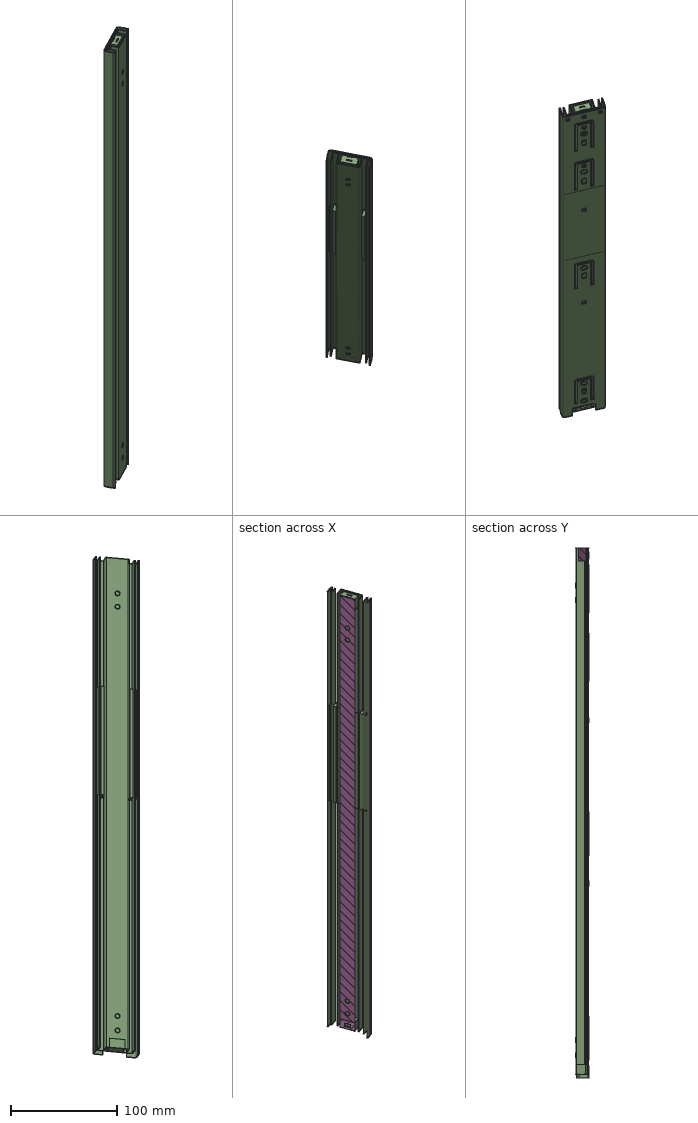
import cadquery as cq

length = 500.0
height = 43.0
thickness = 12.5
sheet = 1.0

top_z = length / 2
bottom_z = -length / 2
inner_bottom_z = -246.5
inner_length = top_z - inner_bottom_z

outer_half = height / 2
outer_depth = 11.5
outer_corner = 2.5
bulge_rise = 0.25
bulge_start = 4.0
bulge_crest = 6.0
bulge_end = 7.5
lip_start = 9.5
lip_middle = 10.5
lip_hollow = 0.2
notch_half = 11.5
notch_top_z = -238.5
notch_corner = 3.0

middle_half = 17.5
middle_back = 1.5
middle_front = 11.0
middle_corner = 2.5
rib_half = 8.0
rib_step = 0.5
rib_front = middle_back + sheet + rib_step

inner_half = 11.5
inner_back = 4.0
inner_corner = 0.5
inner_front_face = thickness - sheet

cage_bottom_z = 10.0
cage_top_z = 120.0
cage_web = 0.5
cage_corner = 1.5
outer_cage_half = 19.5
outer_cage_arm = 1.5
outer_cage_front = 7.5
inner_cage_half = 15.5
inner_cage_arm = 3.0
inner_cage_front = 9.5

stop_back = rib_front
stop_front = 10.0
stop_half = 8.0
stop_height = 12.5
stop_slot_width = 1.0
stop_slot_half = 2.5
stop_slot_x = 6.5
stop_recess_depth = 0.5

bumper_top_z = -237.0
bumper_half = 7.5
bumper_recess_half = 3.0
bumper_recess_height = 3.0
bumper_recess_z = -242.0
bumper_recess_depth = 2.0

tongue_spans = [(234.0, 189.0), (169.5, 124.5), (1.0, -40.0), (-192.0, -231.0)]
slit_half = 9.5
slit_width = 3.0
slit_corner = 3.0

small_hole = 4.5
large_hole = 6.5
slot_length = 8.5
small_hole_z = [242.5, 224.5, 161.0, 87.5, -66.5]
large_hole_z = [214.5, 151.0, -9.0, -201.0, -229.5]
slot_z = [199.5, 135.5, -22.0, -214.0]
corner_hole = 4.0
corner_hole_y = 16.0
corner_hole_z = 244.0

access_hole = 4.5
access_hole_z = [214.5, 201.0, -214.0, -228.5]


def extrude_profile(points, start_z, extent):
    """A closed XY outline extruded upward from start_z."""
    return cq.Workplane("XY").workplane(offset=start_z).polyline(points).close().extrude(extent)


def mirrored(half_points):
    """The full symmetric outline from the points of its +Y half, listed in order."""
    return half_points + [(x, -y) for x, y in reversed(half_points)]


def box_between(x_range, y_range, z_range):
    """A box given by its limits along each axis."""
    (x0, x1), (y0, y1), (z0, z1) = x_range, y_range, z_range
    return cq.Workplane("XY").box(x1 - x0, y1 - y0, z1 - z0, centered=False).translate((x0, y0, z0))


def web_plane():
    """Plane on X = 0 whose local axes are Y and Z, facing +X."""
    return cq.Workplane("YZ")


def round_holes(diameter, centres):
    """Cylinders through the full thickness at (Y, Z) centres."""
    return web_plane().pushPoints(centres).circle(diameter / 2).extrude(thickness)


def on_axis(z_values):
    """(Y, Z) centres on the slide's centre line."""
    return [(0, z) for z in z_values]


def tongue_slit(slit_top, slit_bottom):
    """U-shaped cutter, open downward, that frees a tongue in the outer web."""
    tongue_half = slit_half - slit_width
    frame = box_between((0, sheet), (-slit_half, slit_half), (slit_bottom, slit_top))
    frame = frame.edges("|X and >Z").fillet(slit_corner)
    tongue = box_between((0, sheet), (-tongue_half, tongue_half), (slit_bottom, slit_top - slit_width))
    return frame.cut(tongue)


def outer_web_holes():
    """All screw holes and slots of the outer web."""
    corner_centres = [(side * corner_hole_y, corner_hole_z) for side in (-1, 1)]
    return [
        round_holes(small_hole, on_axis(small_hole_z)),
        round_holes(large_hole, on_axis(large_hole_z)),
        round_holes(corner_hole, corner_centres),
        web_plane().pushPoints(on_axis(slot_z)).slot2D(slot_length, small_hole, 90).extrude(sheet),
    ]


def channel_block(inset):
    """Solid bounded by the outer rail's flange contour, with both flanks moved inward by inset."""
    flat_y = outer_half - bulge_rise - inset
    crest_y = flat_y + bulge_rise
    hollow_y = flat_y - lip_hollow
    return (
        cq.Workplane("XY")
        .workplane(offset=bottom_z)
        .moveTo(0, -flat_y)
        .lineTo(bulge_start, -flat_y)
        .threePointArc((bulge_crest, -crest_y), (bulge_end, -flat_y))
        .lineTo(lip_start, -flat_y)
        .threePointArc((lip_middle, -hollow_y), (outer_depth, -flat_y))
        .lineTo(outer_depth, flat_y)
        .threePointArc((lip_middle, hollow_y), (lip_start, flat_y))
        .lineTo(bulge_end, flat_y)
        .threePointArc((bulge_crest, crest_y), (bulge_start, flat_y))
        .lineTo(0, flat_y)
        .close()
        .extrude(length)
    )


def make_outer_rail():
    """C-shaped rail with bulged flanges, tongues, holes and a notch at the bottom."""
    rail = channel_block(0).edges("|Z and <X").fillet(outer_corner)
    behind_web = box_between((sheet, thickness), (-outer_half, outer_half), (bottom_z, top_z))
    inside = channel_block(sheet).intersect(behind_web).edges("|Z and <X").fillet(outer_corner - sheet)
    rail = rail.cut(inside)

    notch = box_between((0, sheet), (-notch_half, notch_half), (bottom_z, notch_top_z))
    rail = rail.cut(notch.edges("|X and >Z").fillet(notch_corner))
    for slit_top, slit_bottom in tongue_spans:
        rail = rail.cut(tongue_slit(slit_top, slit_bottom))
    for holes in outer_web_holes():
        rail = rail.cut(holes)
    return rail


def bumper_envelope():
    """Block that the bumper fills and that is cut from the middle rail's web."""
    return box_between(
        (middle_back, inner_front_face), (-bumper_half, bumper_half), (inner_bottom_z, bumper_top_z)
    )


def make_middle_rail():
    """C-shaped rail nested in the outer rail, with a band raised toward +X along its web."""
    outline = mirrored([
        (middle_back + rib_step, rib_half),
        (middle_back, rib_half),
        (middle_back, middle_half),
        (middle_front, middle_half),
        (middle_front, middle_half - sheet),
        (middle_back + sheet, middle_half - sheet),
        (middle_back + sheet, rib_half),
        (rib_front, rib_half),
    ])
    rail = extrude_profile(outline, inner_bottom_z, inner_length)
    for side in (-1, 1):
        corner = cq.selectors.NearestToPointSelector((middle_back, side * middle_half, 0))
        rail = rail.edges("|Z").edges(corner).fillet(middle_corner)
    return rail.cut(round_holes(access_hole, on_axis(access_hole_z))).cut(bumper_envelope())


def make_inner_rail():
    """C-shaped rail whose web closes the +X side and whose flanges point toward -X."""
    outline = mirrored([
        (thickness, inner_half),
        (inner_back, inner_half),
        (inner_back, inner_half - sheet),
        (inner_front_face, inner_half - sheet),
    ])
    rail = extrude_profile(outline, inner_bottom_z, inner_length)
    rail = rail.edges("|Z and >X").fillet(inner_corner)
    return rail.cut(round_holes(access_hole, on_axis(access_hole_z)))


def make_ball_cage(back, front, half, arm):
    """Channel with its web at X = back and two arms of the given thickness reaching to X = front."""
    outline = mirrored([
        (back, half),
        (front, half),
        (front, half - arm),
        (back + cage_web, half - arm),
    ])
    cage = extrude_profile(outline, cage_bottom_z, cage_top_z - cage_bottom_z)
    return cage.edges("|Z and <X").fillet(cage_corner)


def make_top_stop():
    """Block inside the top end, with a slot through it and a shallow recess in its back."""
    block_z = (top_z - stop_height, top_z)
    slot_y = (-stop_slot_half, stop_slot_half)
    block = box_between((stop_back, stop_front), (-stop_half, stop_half), block_z)
    block = block.cut(box_between((stop_slot_x, stop_slot_x + stop_slot_width), slot_y, block_z))
    return block.cut(box_between((stop_back, stop_back + stop_recess_depth), slot_y, block_z))


def make_bottom_bumper():
    """Block let into the middle rail's web at the bottom, with a small recess facing the notch."""
    recess = box_between(
        (middle_back, middle_back + bumper_recess_depth),
        (-bumper_recess_half, bumper_recess_half),
        (bumper_recess_z - bumper_recess_height / 2, bumper_recess_z + bumper_recess_height / 2),
    )
    return bumper_envelope().cut(recess)


outer_rail = make_outer_rail()
middle_rail = make_middle_rail()
inner_rail = make_inner_rail()
outer_cage = make_ball_cage(sheet, outer_cage_front, outer_cage_half, outer_cage_arm)
inner_cage = make_ball_cage(rib_front, inner_cage_front, inner_cage_half, inner_cage_arm)
top_stop = make_top_stop()
bottom_bumper = make_bottom_bumper()

result = cq.Compound.makeCompound([
    outer_rail.val(),
    middle_rail.val(),
    inner_rail.val(),
    outer_cage.val(),
    inner_cage.val(),
    top_stop.val(),
    bottom_bumper.val(),
])